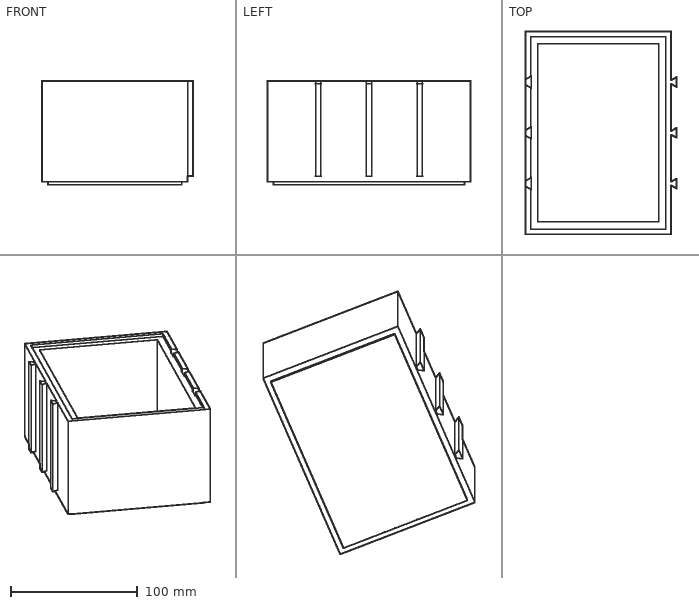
import cadquery as cq
import math

length_y = 160.0
width_x = 114.9
height = 82.0

foot_height = 2.2
foot_inset = 4.6
base_thickness = 4.6
floor_z = foot_height + base_thickness

wall = 10.0
rim_width = 4.2
rim_depth = 2.2

rail_count = 3
rail_spacing = 40.0
rail_side = 8.0
rail_projection = 4.3
groove_side = 9.6
groove_depth = 4.8
side_to_height = math.sqrt(3) / 2

rail_face_x = width_x / 2 + rail_projection
groove_back_x = -width_x / 2 + groove_depth


def centered_block(size_x, size_y, bottom_z, top_z):
    """Rectangular block centered on the Z axis."""
    return (
        cq.Workplane("XY")
        .workplane(offset=bottom_z)
        .rect(size_x, size_y)
        .extrude(top_z - bottom_z)
    )


def triangular_bar(face_x, center_y, side):
    """Upright equilateral bar: wide face at face_x, apex toward -X."""
    outline = [
        (face_x, center_y - side / 2),
        (face_x, center_y + side / 2),
        (face_x - side * side_to_height, center_y),
    ]
    return (
        cq.Workplane("XY")
        .workplane(offset=floor_z)
        .polyline(outline)
        .close()
        .extrude(height - floor_z)
    )


foot = centered_block(width_x - 2 * foot_inset, length_y - 2 * foot_inset, 0, foot_height)
box = centered_block(width_x, length_y, foot_height, height).union(foot)

cavity = centered_block(width_x - 2 * wall, length_y - 2 * wall, floor_z, height)
ledge = centered_block(
    width_x - 2 * rim_width, length_y - 2 * rim_width, height - rim_depth, height
)
result = box.cut(cavity).cut(ledge)

for index in range(rail_count):
    rail_y = (index - (rail_count - 1) / 2) * rail_spacing
    result = result.union(triangular_bar(rail_face_x, rail_y, rail_side))
    result = result.cut(triangular_bar(groove_back_x, rail_y, groove_side))